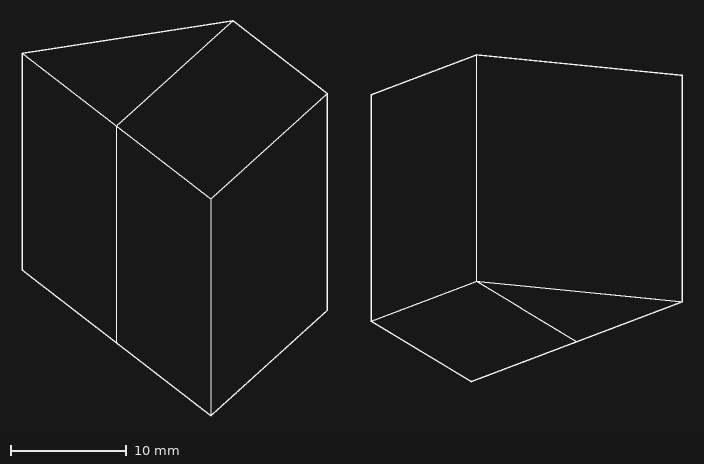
import cadquery as cq

side = 20.0
total_length = 2 * side


def make_prism(outline):
    """Extrude a closed XY outline upward through the full height."""
    return cq.Workplane("XY").polyline(outline).close().extrude(side)


joint_front = (side, 0)
joint_back = (0, side)

corner_prism = make_prism([(0, 0), joint_front, joint_back])

rhomboid_prism = make_prism([joint_front, (total_length, 0), (side, side), joint_back])

result = cq.Compound.makeCompound([corner_prism.val(), rhomboid_prism.val()])